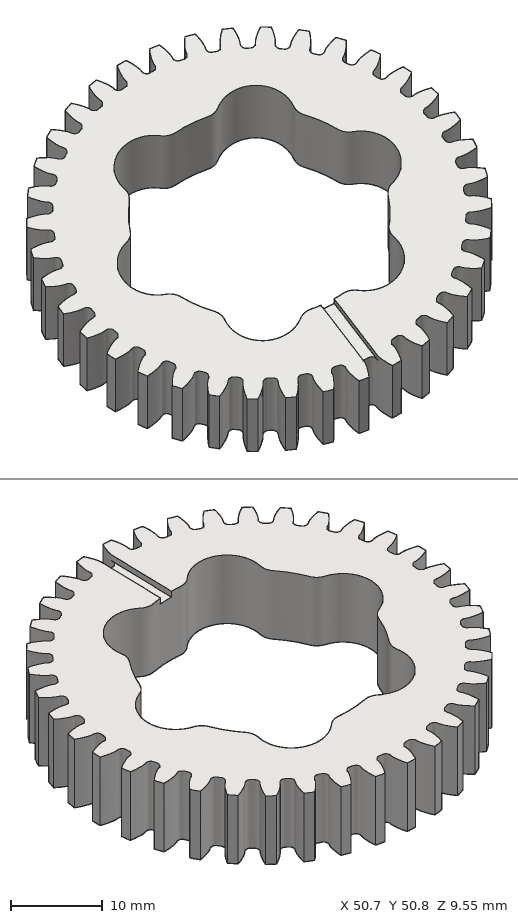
import cadquery as cq
import math

tooth_count = 38
outer_radius = 25.4
module = 2 * outer_radius / (tooth_count + 2)
pressure_angle = math.radians(14.5)
thickness = 9.55
dedendum_factor = 1.25
root_fillet = 0.6

bore_radius = 14.3
lobe_count = 6
lobe_radius = 4.35
lobe_tip_radius = 17.4
flank_flare = math.radians(20)
bore_corner_fillet = 2.05

slot_width = 1.7
slot_depth = 0.8

pitch_radius = module * tooth_count / 2
base_radius = pitch_radius * math.cos(pressure_angle)
root_radius = pitch_radius - dedendum_factor * module
overcut_radius = outer_radius + module / 2
pitch_step = 360 / tooth_count
flank_segments = 8


def involute(angle):
    return math.tan(angle) - angle


def polar(radius, angle):
    return (radius * math.cos(angle), radius * math.sin(angle))


def gap_half_angle(radius):
    """Half the angle spanned by a tooth gap at a radius on the involute flank."""
    flank_angle = math.acos(min(1.0, base_radius / radius))
    gap_at_pitch = math.pi / (2 * tooth_count)
    return gap_at_pitch - involute(pressure_angle) + involute(flank_angle)


def make_gap_cutter():
    """One tooth gap centred on +X: radial below the base circle, involute above it."""
    roll_end = math.sqrt((overcut_radius / base_radius) ** 2 - 1)
    rolls = [roll_end * i / flank_segments for i in range(flank_segments + 1)]
    radii = [base_radius * math.hypot(1, roll) for roll in rolls]
    upper_flank = [polar(r, gap_half_angle(r)) for r in radii]
    lower_flank = [(x, -y) for x, y in reversed(upper_flank)]
    root_x, root_y = polar(root_radius, gap_half_angle(base_radius))
    profile = (
        cq.Workplane("XY")
        .moveTo(root_x, -root_y)
        .threePointArc((root_radius, 0), (root_x, root_y))
        .lineTo(*upper_flank[0])
        .spline(upper_flank[1:], includeCurrent=True)
        .threePointArc((overcut_radius, 0), lower_flank[0])
        .spline(lower_flank[1:], includeCurrent=True)
        .close()
    )
    cutter = profile.extrude(thickness)
    root_corners = cq.selectors.BoxSelector(
        (root_x - root_fillet / 2, -2 * root_y, 0),
        (root_x + root_fillet / 2, 2 * root_y, thickness),
    )
    return cutter.edges("|Z").edges(root_corners).fillet(root_fillet)


def make_bore_cutter():
    """Round bore widened by lobes with straight flared flanks and rounded corners."""
    lobe_centre = lobe_tip_radius - lobe_radius
    flank_offset = lobe_radius + lobe_centre * math.sin(flank_flare)
    corner_angle = flank_flare + math.acos(flank_offset / bore_radius)
    corner_x, corner_y = polar(bore_radius, corner_angle)
    tangent_x, tangent_y = polar(lobe_radius, flank_flare)
    tangent_y += lobe_centre
    lobe = (
        cq.Workplane("XY")
        .moveTo(corner_x, corner_y)
        .lineTo(tangent_x, tangent_y)
        .threePointArc((0, lobe_tip_radius), (-tangent_x, tangent_y))
        .lineTo(-corner_x, corner_y)
        .lineTo(0, 0)
        .close()
        .extrude(thickness)
    )
    bore = cq.Workplane("XY").circle(bore_radius).extrude(thickness)
    for i in range(lobe_count):
        bore = bore.union(lobe.rotate((0, 0, 0), (0, 0, 1), i * 360 / lobe_count))
    for i in range(lobe_count):
        lobe_turn = 2 * math.pi * i / lobe_count
        for angle in (corner_angle, math.pi - corner_angle):
            x, y = polar(bore_radius, angle + lobe_turn)
            corner = cq.selectors.NearestToPointSelector((x, y, thickness / 2))
            bore = bore.edges("|Z").edges(corner).fillet(bore_corner_fillet)
    return bore


gear = cq.Workplane("XY").circle(outer_radius).extrude(thickness)

gap = make_gap_cutter()
for i in range(tooth_count):
    gear = gear.cut(gap.rotate((0, 0, 0), (0, 0, 1), i * pitch_step))

gear = gear.cut(make_bore_cutter())

slot = (
    cq.Workplane("XY", origin=(0, 0, thickness - slot_depth))
    .rect(outer_radius, slot_width)
    .extrude(slot_depth)
    .translate((outer_radius / 2, 0, 0))
)
result = gear.cut(slot)